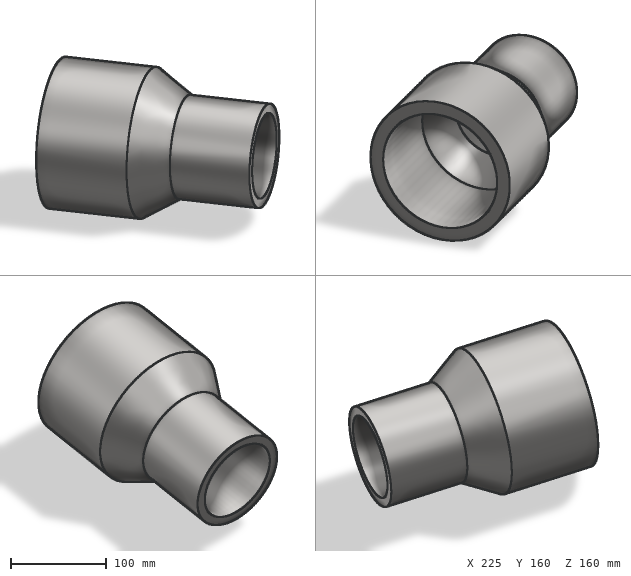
import cadquery as cq

total_length = 225.0
large_end_length = 98.5
small_end_length = 86.6

large_outer_diameter = 160.0
large_bore_diameter = 130.7
small_outer_diameter = 110.0
small_bore_diameter = 90.0

cone_start = large_end_length
cone_end = total_length - small_end_length


def stepped_cone(large_diameter, small_diameter):
    """Solid of revolution about X: large cylinder, cone, small cylinder."""
    large_radius = large_diameter / 2
    small_radius = small_diameter / 2
    return (
        cq.Workplane("XY")
        .moveTo(0, 0)
        .lineTo(0, large_radius)
        .lineTo(cone_start, large_radius)
        .lineTo(cone_end, small_radius)
        .lineTo(total_length, small_radius)
        .lineTo(total_length, 0)
        .close()
        .revolve(360, (0, 0, 0), (1, 0, 0))
    )


outer_body = stepped_cone(large_outer_diameter, small_outer_diameter)
bore = stepped_cone(large_bore_diameter, small_bore_diameter)

result = outer_body.cut(bore)